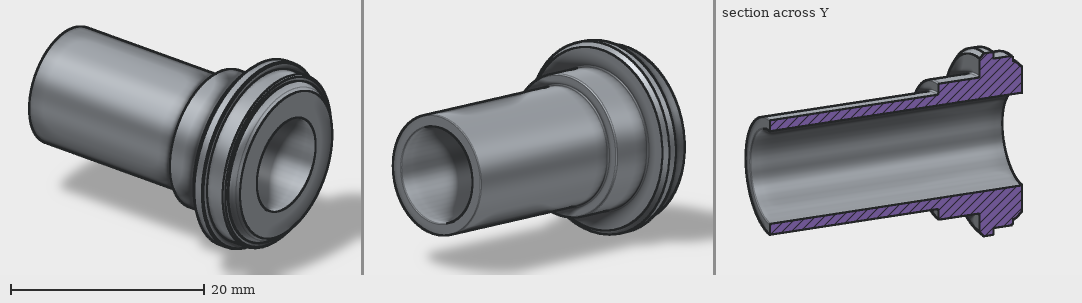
import cadquery as cq

length = 28.5
collar_start = 19.05
flange_start = 23.68
flange_end = 25.28
spigot_end = 27.47

bore_diameter = 10.2
tube_diameter = 12.7
collar_diameter = 15.1
flange_diameter = 20.3
spigot_diameter = 18.8
nose_root_diameter = 17.55
nose_mid_diameter = 16.65
nose_tip_diameter = 16.02

selection_margin = 0.015

root_fillet = 0.17
edge_round = 0.15
tube_edge_round = 0.09
flange_front_chamfer = 0.5
flange_rear_chamfer = 0.1
spigot_chamfer = 0.2
nose_tip_length = 0.3
nose_land = 0.09
nose_bulge = 0.05


def cylinder(start, end, diameter):
    """Solid cylinder along X between two positions."""
    return cq.Workplane("YZ", origin=(start, 0, 0)).circle(diameter / 2).extrude(end - start)


def circular_edge(body, position, diameter):
    """Circular edge of the given diameter at a position along X."""
    radius = diameter / 2
    selector = cq.selectors.BoxSelector(
        (position - selection_margin, -radius - selection_margin, -radius - selection_margin),
        (position + selection_margin, radius + selection_margin, radius + selection_margin),
        boundingbox=True,
    )
    return body.edges(selector)


def make_nose():
    """Convex sealing nose followed by a conical tip."""
    root_radius = nose_root_diameter / 2
    mid_radius = nose_mid_diameter / 2
    arc_start = spigot_end + nose_land
    mid_x = length - nose_tip_length
    arc_mid = ((arc_start + mid_x) / 2, (root_radius + mid_radius) / 2 + nose_bulge)
    return (
        cq.Workplane("XY")
        .moveTo(spigot_end, 0)
        .lineTo(spigot_end, root_radius)
        .lineTo(arc_start, root_radius)
        .threePointArc(arc_mid, (mid_x, mid_radius))
        .lineTo(length, nose_tip_diameter / 2)
        .lineTo(length, 0)
        .close()
        .revolve(360, (0, 0, 0), (1, 0, 0))
    )


tube = cylinder(0, collar_start, tube_diameter).faces("<X").edges().fillet(tube_edge_round)
collar = cylinder(collar_start, flange_start, collar_diameter).faces("<X").edges().fillet(edge_round)
flange = (
    cylinder(flange_start, flange_end, flange_diameter)
    .faces("<X").edges().chamfer(flange_front_chamfer)
    .faces(">X").edges().chamfer(flange_rear_chamfer)
)
spigot = cylinder(flange_end, spigot_end, spigot_diameter).faces(">X").edges().chamfer(spigot_chamfer)
body = tube.union(collar).union(flange).union(spigot).union(make_nose())

body = circular_edge(body, collar_start, tube_diameter).fillet(root_fillet)
body = circular_edge(body, flange_start, collar_diameter).fillet(root_fillet)

result = body.cut(cylinder(0, length, bore_diameter))
bore_edge = circular_edge(result, 0, bore_diameter)
result = bore_edge.fillet(tube_edge_round)